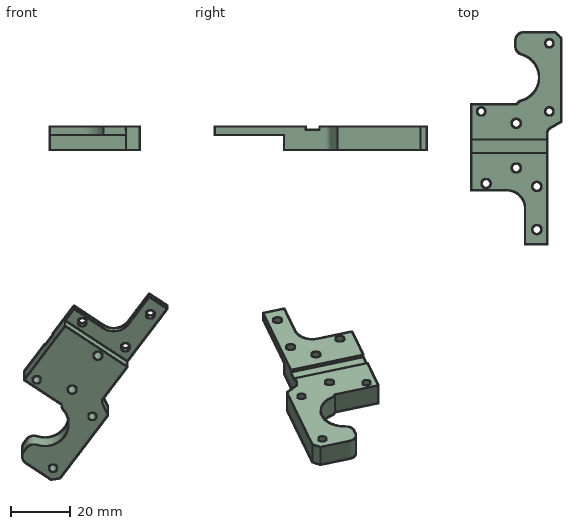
import cadquery as cq
import math

overall_width = 30.5
overall_length = 71.55
thickness = 8.0

body_width = 25.7
body_front = 18.2
body_back = 47.3
leg_width = 7.5
leg_fillet = 6.0
plate_thickness = 3.0
step_position = 23.3

recess_radius = 8.0
recess_x = 14.9
recess_y = 56.25
tip_radius = 3.0
corner_chamfer = 2.15
slant_top = 41.35
slant_angle = math.radians(30)
slant_fillet = 2.0

groove_front = 30.8
groove_width = 4.5
groove_depth = 1.1

small_hole_diameter = 2.7
small_hole_spacing = 23.0
small_hole_x = 3.4
small_hole_y = 44.8
large_hole_diameter = 3.0
center_hole_x = 15.25
center_hole_ys = (25.75, 40.8)
side_hole = (5.1, 20.55)
leg_hole_x = 22.2
leg_hole_ys = (5.0, 19.55)


def box(x, y, z, width, length, height):
    """Box placed by its lower left bottom corner."""
    return cq.Workplane("XY").box(width, length, height, centered=False).translate((x, y, z))


def on_circle(center, radius, angle):
    """Point on a circle at an angle in radians."""
    return center[0] + radius * math.cos(angle), center[1] + radius * math.sin(angle)


def make_outline():
    """Full-height plate with the hook and the leg."""
    lip_x = recess_x + tip_radius
    lip_offset = math.sqrt((recess_radius + tip_radius) ** 2 - tip_radius**2)
    recess_center = (recess_x, recess_y)
    upper_lip = (lip_x, recess_y + lip_offset)
    lower_lip = (lip_x, recess_y - lip_offset)
    tip_corner = (lip_x, overall_length - tip_radius)

    touch_angle = math.atan2(lip_offset, tip_radius)
    upper_touch = on_circle(recess_center, recess_radius, touch_angle)
    lower_touch = on_circle(recess_center, recess_radius, -touch_angle)

    lower_start_angle = math.pi - math.asin((body_back - lower_lip[1]) / tip_radius)
    lower_end_angle = math.pi - touch_angle
    lower_start = on_circle(lower_lip, tip_radius, lower_start_angle)
    lower_middle = on_circle(lower_lip, tip_radius, (lower_start_angle + lower_end_angle) / 2)
    upper_middle = on_circle(upper_lip, tip_radius, math.pi + touch_angle / 2)

    leg_left = body_width - leg_width
    slant_bottom = slant_top - (overall_width - body_width) * math.tan(slant_angle)

    plate = (
        cq.Workplane("XY")
        .moveTo(0, body_front)
        .lineTo(0, body_back)
        .lineTo(*lower_start)
        .threePointArc(lower_middle, lower_touch)
        .threePointArc((recess_x + recess_radius, recess_y), upper_touch)
        .threePointArc(upper_middle, (recess_x, upper_lip[1]))
        .lineTo(recess_x, tip_corner[1])
        .threePointArc(on_circle(tip_corner, tip_radius, 0.75 * math.pi), (lip_x, overall_length))
        .lineTo(overall_width - corner_chamfer, overall_length)
        .lineTo(overall_width, overall_length - corner_chamfer)
        .lineTo(overall_width, slant_top)
        .lineTo(body_width, slant_bottom)
        .lineTo(body_width, 0)
        .lineTo(leg_left, 0)
        .lineTo(leg_left, body_front)
        .close()
        .extrude(thickness)
    )
    plate = plate.edges(cq.NearestToPointSelector((leg_left, body_front, thickness / 2))).fillet(leg_fillet)
    slant_corner = (body_width, slant_bottom, thickness / 2)
    return plate.edges(cq.NearestToPointSelector(slant_corner)).fillet(slant_fillet)


def make_holes(centers, diameter):
    """Pins through the full thickness, used to cut the holes."""
    return cq.Workplane("XY").pushPoints(centers).circle(diameter / 2).extrude(thickness)


step = box(0, 0, 0, overall_width, step_position, thickness - plate_thickness)
groove = box(0, groove_front, thickness - groove_depth, overall_width, groove_width, groove_depth)

small_hole_right = small_hole_x + small_hole_spacing
small_holes = [
    (small_hole_x, small_hole_y),
    (small_hole_right, small_hole_y),
    (small_hole_right, small_hole_y + small_hole_spacing),
]
large_holes = [side_hole]
large_holes += [(center_hole_x, y) for y in center_hole_ys]
large_holes += [(leg_hole_x, y) for y in leg_hole_ys]

result = (
    make_outline()
    .cut(step)
    .cut(groove)
    .cut(make_holes(small_holes, small_hole_diameter))
    .cut(make_holes(large_holes, large_hole_diameter))
)